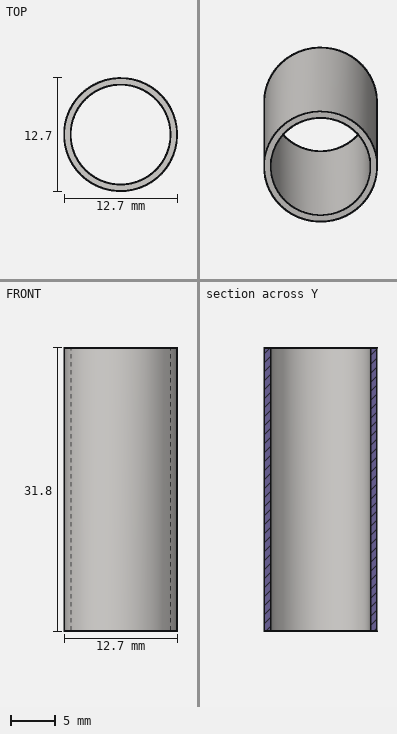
import cadquery as cq

length = 31.75
outer_diameter = 12.7
wall_thickness = 0.75
inner_diameter = outer_diameter - 2 * wall_thickness

result = (
    cq.Workplane("XY")
    .circle(outer_diameter / 2)
    .circle(inner_diameter / 2)
    .extrude(length)
)